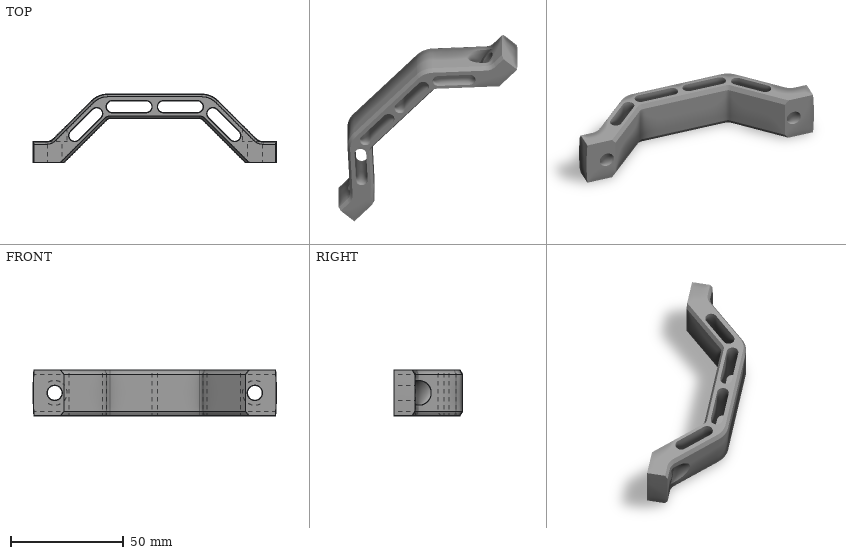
import cadquery as cq
import math

length = 108.27
depth = 30.47
height = 20.44

foot_thickness = 9.3
grip_thickness = 10.9
leg_foot_inner_x = 40.35
leg_thickness = 10.75
leg_angle = 45.0
outer_bend_radius = 10.0
inner_bend_radius = 2.0
foot_bend_radius = 5.0

bevel_height = 2.0
bevel_angle = 30.0
bevel_width = bevel_height * math.tan(math.radians(bevel_angle))

end_bulge = 0.4

hole_x = 44.5
hole_diameter = 6.6
counterbore_diameter = 11.0
counterbore_floor_y = foot_thickness

slot_width = 5.2
slot_outer_wall = 3.0
grip_slot_length = 20.3
grip_slot_gap = 2.5
leg_slot_length = 19.0
leg_slot_center_x = 30.7

grip_inner_y = depth - grip_thickness
inner_corner_x = leg_foot_inner_x - grip_inner_y
leg_outer_sum = leg_foot_inner_x + leg_thickness * math.sqrt(2)
outer_corner_x = leg_outer_sum - depth
foot_corner_x = leg_outer_sum - foot_thickness
grip_slot_x = (grip_slot_gap + grip_slot_length) / 2
slot_axis_depth = slot_outer_wall + slot_width / 2
grip_slot_y = depth - slot_axis_depth
leg_slot_y = leg_outer_sum - slot_axis_depth * math.sqrt(2) - leg_slot_center_x
overrun = 10.0


def fillet_vertical_edges(body, x, y, radius):
    """Round the two mirrored vertical edges at (+x, y) and (-x, y)."""
    for side in (-1, 1):
        body = body.edges(cq.selectors.NearestToPointSelector((side * x, y, 0))).fillet(radius)
    return body


def beveled_bridge():
    """Rounded and beveled bridge, running past the foot ends and the mounting plane."""
    right = [
        (outer_corner_x, depth),
        (foot_corner_x, foot_thickness),
        (length / 2 + overrun, foot_thickness),
        (length / 2 + overrun, -overrun),
        (leg_foot_inner_x + overrun, -overrun),
        (inner_corner_x, grip_inner_y),
    ]
    left = [(-x, y) for x, y in reversed(right)]
    half = cq.Workplane("XY").polyline(right + left).close().extrude(-height / 2)
    half = fillet_vertical_edges(half, outer_corner_x, depth, outer_bend_radius)
    half = fillet_vertical_edges(half, foot_corner_x, foot_thickness, foot_bend_radius)
    half = fillet_vertical_edges(half, inner_corner_x, grip_inner_y, inner_bend_radius)
    half = half.faces("<Z").edges().chamfer(bevel_height, bevel_width)
    return half.union(half.mirror("XY"))


def trim_envelope():
    """Block with bulged ends that sets the foot ends and the mounting plane."""
    edge_x = length / 2 - end_bulge
    return (
        cq.Workplane("XZ")
        .moveTo(-edge_x, -height / 2)
        .lineTo(edge_x, -height / 2)
        .threePointArc((length / 2, 0), (edge_x, height / 2))
        .lineTo(-edge_x, height / 2)
        .threePointArc((-length / 2, 0), (-edge_x, -height / 2))
        .close()
        .extrude(-depth)
    )


def slot_cutter(x, y, slot_length, angle):
    """Full-height round-ended slot cutter."""
    return (
        cq.Workplane("XY")
        .center(x, y)
        .slot2D(slot_length, slot_width, angle)
        .extrude(height, both=True)
    )


def y_cylinder(x, diameter, start_y, end_y):
    """Cylinder along Y on the mid-plane."""
    return (
        cq.Workplane("XZ", origin=(x, start_y, 0))
        .circle(diameter / 2)
        .extrude(start_y - end_y)
    )


result = beveled_bridge().intersect(trim_envelope())

for side in (-1, 1):
    result = result.cut(slot_cutter(side * grip_slot_x, grip_slot_y, grip_slot_length, 0))
    result = result.cut(slot_cutter(side * leg_slot_center_x, leg_slot_y, leg_slot_length, -side * leg_angle))
    result = result.cut(y_cylinder(side * hole_x, hole_diameter, 0, depth))
    result = result.cut(y_cylinder(side * hole_x, counterbore_diameter, counterbore_floor_y, depth))